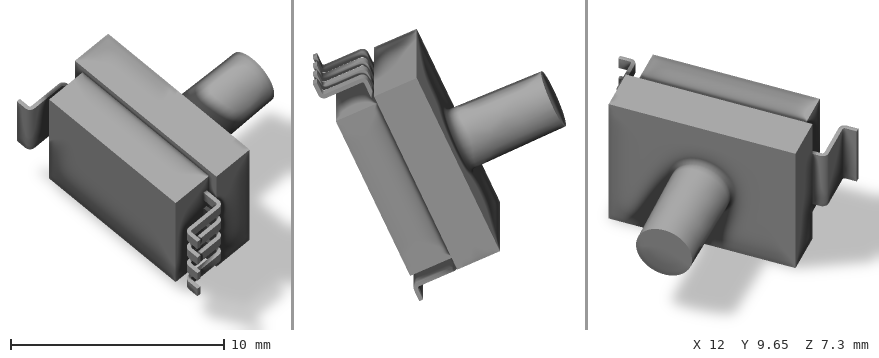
import cadquery as cq


base_length = 8.4
base_width = 6.4
base_height = 2.2
cap_length = 9.4
cap_width = 7.3
cap_height = 2.2
standoff = 0.35

port_base_radius = 1.5
port_tip_radius = 1.41
port_height = 4.9
port_fillet = 0.2

lead_span = 12.0
lead_thickness = 0.2
lead_height = 2.4
leg_outer_x = 5.325
bend_inner_radius = 0.1
pin_width = 0.6
pin_pitch = 1.27
pin_count = 4
tab_width = 3.2
embed_depth = 0.2

cap_bottom = standoff + base_height
cap_top = cap_bottom + cap_height
bend_outer_radius = bend_inner_radius + lead_thickness
lead_tip_x = lead_span / 2
leg_inner_x = leg_outer_x - lead_thickness
lead_embed_x = base_length / 2 - embed_depth


def block(length, height, width, bottom):
    """Rectangular block centred on the port axis and standing on y = bottom."""
    return cq.Workplane("XY").box(length, height, width).translate((0, bottom + height / 2, 0))


def make_port():
    """Solid tapered port with a concave fillet where it meets the cap."""
    return (
        cq.Workplane("ZY")
        .moveTo(0, cap_top)
        .lineTo(port_base_radius + port_fillet, cap_top)
        .radiusArc((port_base_radius, cap_top + port_fillet), port_fillet)
        .lineTo(port_tip_radius, cap_top + port_height)
        .lineTo(0, cap_top + port_height)
        .close()
        .revolve(360, (0, 0, 0), (0, 1, 0))
    )


def make_lead(width, z_center):
    """Gull-wing lead on the +X end, running slightly into the housing base."""
    shelf_bottom = lead_height - lead_thickness
    return (
        cq.Workplane("XY", origin=(0, 0, z_center))
        .moveTo(lead_embed_x, lead_height)
        .lineTo(leg_outer_x - bend_outer_radius, lead_height)
        .radiusArc((leg_outer_x, lead_height - bend_outer_radius), bend_outer_radius)
        .lineTo(leg_outer_x, bend_outer_radius)
        .radiusArc((leg_outer_x + bend_inner_radius, lead_thickness), -bend_inner_radius)
        .lineTo(lead_tip_x, lead_thickness)
        .lineTo(lead_tip_x, 0)
        .lineTo(leg_inner_x + bend_outer_radius, 0)
        .radiusArc((leg_inner_x, bend_outer_radius), bend_outer_radius)
        .lineTo(leg_inner_x, lead_height - bend_outer_radius)
        .radiusArc((leg_inner_x - bend_inner_radius, shelf_bottom), -bend_inner_radius)
        .lineTo(lead_embed_x, shelf_bottom)
        .close()
        .extrude(width / 2, both=True)
    )


base = block(base_length, base_height, base_width, standoff)
cap = block(cap_length, cap_height, cap_width, cap_bottom)
result = base.union(cap).union(make_port())

for pin in range(pin_count):
    pin_z = (pin - (pin_count - 1) / 2) * pin_pitch
    result = result.union(make_lead(pin_width, pin_z))

tab = make_lead(tab_width, 0).mirror("YZ")
result = result.union(tab)